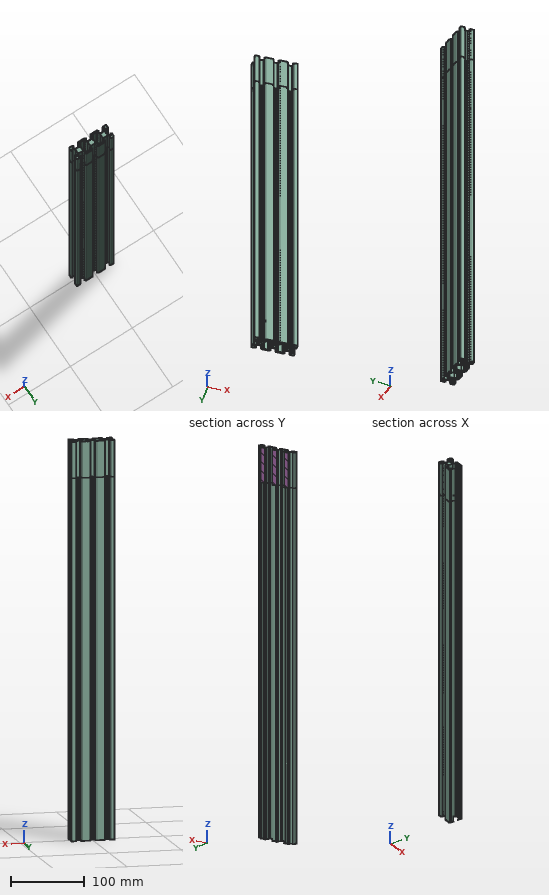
import cadquery as cq
import math

cell = 20.0
cell_count = 3
section_width = cell * cell_count
section_depth = cell
lower_length = 500.0
upper_length = 50.0
corner_radius = 0.5

flare_width = 9.4
mouth_width = 6.2
flare_edge_radius = 0.5
lip_thickness = 1.8
chamber_width = 11.0
chamber_wall = 1.6
core_size = 7.8

hollow_width = 11.8
hollow_roof_thickness = 2.0
hollow_roof_width = 6.0
hollow_roof_wall = 1.8

groove_width = 2.0
groove_depth = 0.3
core_bore_diameter = 4.2

cell_half = cell / 2
core_half = core_size / 2
flare_half = flare_width / 2
mouth_half = mouth_width / 2
flare_depth = flare_half - mouth_half
chamber_half = chamber_width / 2
chamber_top = cell_half - lip_thickness
chamber_shoulder = chamber_top - chamber_wall
floor_half = chamber_half - (chamber_shoulder - core_half)
core_centers = [(i - (cell_count - 1) / 2) * cell for i in range(cell_count)]
hollow_half = hollow_width / 2
hollow_roof_half = hollow_roof_width / 2
hollow_roof = cell_half - hollow_roof_thickness
hollow_shoulder = hollow_roof - hollow_roof_wall
hollow_side_half = hollow_shoulder - (hollow_half - hollow_roof_half)
hollow_centers = [x + cell_half for x in core_centers[:-1]]

slot_places = [(x, turn) for x in core_centers for turn in (0, 180)]
slot_places += [(core_centers[0], 90), (core_centers[-1], -90)]


def mirrored(points):
    return [(-x, y) for x, y in reversed(points)]


def slot_cutter(length):
    """Slot of the cell at the origin, opening toward +Y, with rounded edges at the flared mouth."""
    tangent = flare_edge_radius * math.tan(math.radians(22.5))
    arc_center_x = flare_half + tangent
    arc_center_y = cell_half - flare_edge_radius
    arc_middle_angle = math.radians(112.5)
    arc_start = (arc_center_x, cell_half)
    arc_middle = (
        arc_center_x + flare_edge_radius * math.cos(arc_middle_angle),
        arc_center_y + flare_edge_radius * math.sin(arc_middle_angle),
    )
    arc_end = (flare_half - tangent * math.sqrt(0.5), cell_half - tangent * math.sqrt(0.5))
    right_side = [
        (mouth_half, cell_half - flare_depth),
        (mouth_half, chamber_top),
        (chamber_half, chamber_top),
        (chamber_half, chamber_shoulder),
        (floor_half, core_half),
    ]
    left_arc_end, left_arc_middle, left_arc_start = mirrored([arc_start, arc_middle, arc_end])
    outline = cq.Workplane("XY").moveTo(*arc_start).threePointArc(arc_middle, arc_end)
    for point in right_side + mirrored(right_side):
        outline = outline.lineTo(*point)
    outline = outline.lineTo(*left_arc_end).threePointArc(left_arc_middle, left_arc_start)
    return outline.close().extrude(length)


def place_in_slots(cutter):
    """One copy of the cutter for each slot of the section."""
    return [cutter.rotate((0, 0, 0), (0, 0, 1), turn).translate((x, 0, 0)) for x, turn in slot_places]


def hollow_cutter(length):
    upper_right = [
        (hollow_half, hollow_side_half),
        (hollow_roof_half, hollow_shoulder),
        (hollow_roof_half, hollow_roof),
    ]
    upper_half = upper_right + mirrored(upper_right)
    lower_half = [(-x, -y) for x, y in upper_half]
    return cq.Workplane("XY").polyline(upper_half + lower_half).close().extrude(length)


def extrusion(length):
    body = cq.Workplane("XY").rect(section_width, section_depth).extrude(length)
    body = body.edges("|Z").fillet(corner_radius)
    for cutter in place_in_slots(slot_cutter(length)):
        body = body.cut(cutter)
    for x in hollow_centers:
        body = body.cut(hollow_cutter(length).translate((x, 0, 0)))
    return body


def floor_groove_cutter(length):
    """Shallow groove along the middle of a slot floor."""
    groove = cq.Workplane("XY").rect(groove_width, groove_depth).extrude(length)
    return groove.translate((0, core_half - groove_depth / 2, 0))


def core_bores(length):
    centers = [(x, 0) for x in core_centers]
    return cq.Workplane("XY").pushPoints(centers).circle(core_bore_diameter / 2).extrude(length)


lower_extrusion = extrusion(lower_length).cut(core_bores(lower_length))
for groove_cutter in place_in_slots(floor_groove_cutter(lower_length)):
    lower_extrusion = lower_extrusion.cut(groove_cutter)

upper_extrusion = extrusion(upper_length).translate((0, 0, lower_length))

result = cq.Compound.makeCompound([lower_extrusion.val(), upper_extrusion.val()])